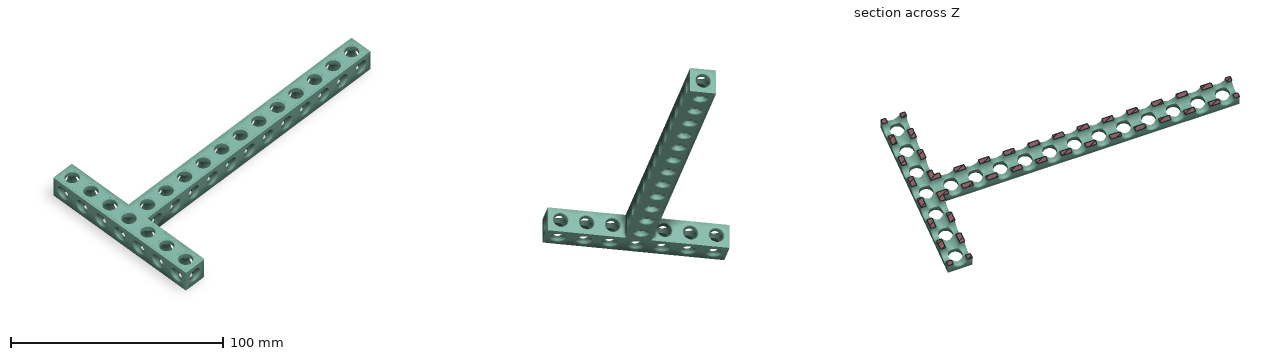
import cadquery as cq
import math

pitch = 12.5
crossbar_hole_count = 7
stem_hole_count = 12
hole_diameter = 7.0
hole_mouth_diameter = 7.6
hole_chamfer_depth = 0.3
ring_diameter = 9.2
panel_inset = 1.0
panel_height = 0.1
corner_radius = 0.35
edge_chamfer_width = 0.3
edge_chamfer_height = 0.15

crossbar_length = crossbar_hole_count * pitch
total_length = (stem_hole_count + 1) * pitch
half_width = pitch / 2
crossbar_end = crossbar_length / 2
stem_end = total_length - half_width
part_center = total_length / 2 - half_width
bottom = -half_width
panel_base = half_width - panel_height

crossbar_stations = [(i - (crossbar_hole_count - 1) / 2) * pitch for i in range(crossbar_hole_count)]
stem_stations = [i * pitch for i in range(1, stem_hole_count + 1)]
top_points = [(x, 0) for x in crossbar_stations] + [(0, y) for y in stem_stations]


def make_crossbar():
    """Crossbar with rounded vertical edges and a small chamfer around its top."""
    side_height = panel_base - edge_chamfer_height - bottom
    chamfer_angle = math.degrees(math.atan2(edge_chamfer_width, edge_chamfer_height))
    sides = (
        cq.Workplane("XY", origin=(0, 0, bottom))
        .rect(crossbar_length, pitch)
        .extrude(side_height)
        .edges("|Z")
        .fillet(corner_radius)
    )
    cap = (
        sides.faces(">Z")
        .wires()
        .toPending()
        .extrude(edge_chamfer_height, taper=chamfer_angle, combine=False)
    )
    return sides.union(cap)


def make_stem():
    """Square-edged stem, starting at the center line of the crossbar."""
    return (
        cq.Workplane("XY", origin=(0, stem_end / 2, bottom))
        .rect(pitch, stem_end)
        .extrude(panel_base - bottom)
    )


def make_panel():
    """Thin raised tee on top, open around every vertical hole."""
    base = cq.Workplane("XY", origin=(0, 0, panel_base))
    panel_width = pitch - 2 * panel_inset
    crossbar_panel = base.rect(crossbar_length - 2 * panel_inset, panel_width).extrude(panel_height)
    stem_panel = (
        base.center(0, part_center)
        .rect(panel_width, total_length - 2 * panel_inset)
        .extrude(panel_height)
    )
    rings = base.pushPoints(top_points).circle(ring_diameter / 2).extrude(panel_height)
    return crossbar_panel.union(stem_panel).cut(rings)


def hole_ends():
    """Start and end point of every through hole, grouped by the axis the holes follow."""
    along_z = [((x, y, panel_base), (x, y, bottom)) for x, y in top_points]
    along_y = [
        ((x, -half_width, 0), (x, stem_end if x == 0 else half_width, 0))
        for x in crossbar_stations
    ]
    along_x = [((-half_width, y, 0), (half_width, y, 0)) for y in stem_stations]
    along_x.append(((-crossbar_end, 0, 0), (crossbar_end, 0, 0)))
    return [along_z, along_y, along_x]


def drill(body, holes):
    """Bore a group of parallel through holes and chamfer both mouths of each."""
    radius = hole_diameter / 2
    mouth_radius = hole_mouth_diameter / 2
    bores = []
    mouths = []
    for start_point, end_point in holes:
        start = cq.Vector(*start_point)
        end = cq.Vector(*end_point)
        axis = end - start
        bores.append(cq.Solid.makeCylinder(radius, axis.Length, start, axis))
        mouths.append(cq.Solid.makeCone(mouth_radius, radius, hole_chamfer_depth, start, axis))
        mouths.append(cq.Solid.makeCone(mouth_radius, radius, hole_chamfer_depth, end, -axis))
    for cutters in (bores, mouths):
        body = body.cut(cq.Workplane(obj=cq.Compound.makeCompound(cutters)))
    return body


result = make_crossbar().union(make_stem()).union(make_panel())
for hole_group in hole_ends():
    result = drill(result, hole_group)